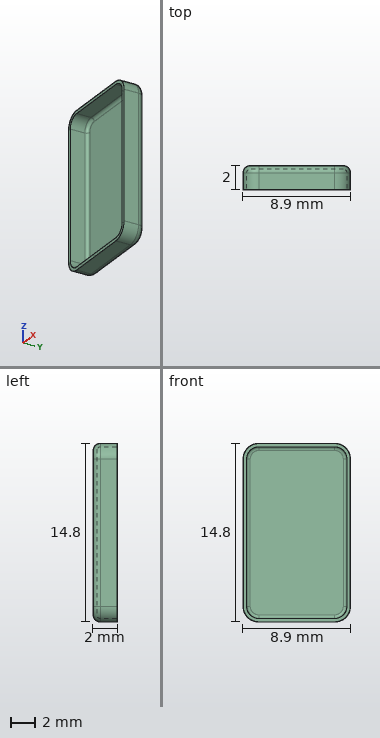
import cadquery as cq

width = 8.9
depth = 2.0
height = 14.8
wall = 0.3
corner_radius = 1.3
back_edge_radius = 0.59

inner_corner_radius = corner_radius - wall
inner_edge_radius = back_edge_radius - wall


def rounded_block(x_size, y_size, z_size, side_radius, back_radius):
    """Block from y = 0 to y_size with round corners and a rounded +Y rim."""
    block = cq.Workplane("XY").box(x_size, y_size, z_size, centered=(True, False, True))
    block = block.edges("|Y").fillet(side_radius)
    return block.faces(">Y").edges().fillet(back_radius)


outside = rounded_block(width, depth, height, corner_radius, back_edge_radius)
cavity = rounded_block(
    width - 2 * wall,
    depth - wall,
    height - 2 * wall,
    inner_corner_radius,
    inner_edge_radius,
)

result = outside.cut(cavity)